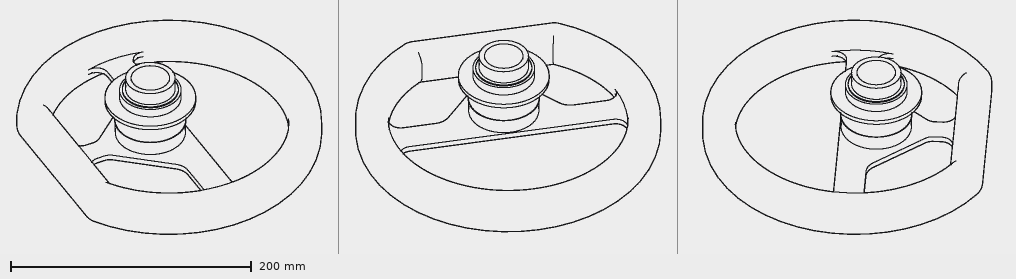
import cadquery as cq
import math

rim_radius = 127.0
flat_distance = 110.0
rim_width = 27.5
rim_height = 35.5
rim_rounding = 12.7

plate_top = 19.0
plate_thickness = 5.0
spoke_half_width = 12.7
lower_spoke_half_width = 10.0
web_outer_x = 51.5
web_lower_y = -62.0
rim_blend = 10.2
web_upper_blend = 15.2
web_lower_blend = 10.2

hub_y = -17.5
hub_steps = [
    (29.2, 32.3),
    (29.7, 52.8),
    (37.8, 56.6),
    (25.7, 64.5),
    (23.4, 65.5),
    (20.5, 77.5),
]
bore_radius = 16.0

inner_radius = rim_radius - rim_width
inner_flat = flat_distance - rim_width
plate_bottom = plate_top - plate_thickness


def d_prism(radius, flat, bottom, height):
    """Disc with its -Y side cut off by a flat."""
    half_flat = math.sqrt(radius**2 - flat**2)
    return (
        cq.Workplane("XY", origin=(0, 0, bottom))
        .moveTo(-half_flat, -flat)
        .threePointArc((0, radius), (half_flat, -flat))
        .close()
        .extrude(height)
    )


def make_rim():
    outer = d_prism(rim_radius, flat_distance, 0, rim_height)
    outer = outer.edges("|Z").fillet(rim_width / 2)
    opening = d_prism(inner_radius, inner_flat, 0, rim_height)
    ring = outer.cut(opening)
    return ring.faces("<Z or >Z").edges().fillet(rim_rounding)


def blend_corner(window, x, y, radius):
    """Round the vertical window edge nearest to (x, y)."""
    middle = (x, y, plate_bottom + plate_thickness / 2)
    return window.edges("|Z").edges(cq.selectors.NearestToPointSelector(middle)).fillet(radius)


def make_upper_window():
    window = d_prism(inner_radius, inner_flat, plate_bottom, plate_thickness)
    above_spokes = (
        cq.Workplane("XY", origin=(0, spoke_half_width, plate_bottom))
        .rect(2 * rim_radius, rim_radius, centered=(True, False))
        .extrude(plate_thickness)
    )
    return window.intersect(above_spokes).edges("|Z").fillet(rim_blend)


def make_lower_window():
    """Window on the +X side, between a side spoke and the lower spoke."""
    beside_spokes = (
        cq.Workplane("XY", origin=(0, 0, plate_bottom))
        .moveTo(rim_radius, -spoke_half_width)
        .lineTo(web_outer_x, -spoke_half_width)
        .lineTo(lower_spoke_half_width, web_lower_y)
        .lineTo(lower_spoke_half_width, -rim_radius)
        .lineTo(rim_radius, -rim_radius)
        .close()
        .extrude(plate_thickness)
    )
    window = d_prism(inner_radius, inner_flat, plate_bottom, plate_thickness).intersect(beside_spokes)
    rim_corner_x = math.sqrt(inner_radius**2 - spoke_half_width**2)
    window = blend_corner(window, rim_corner_x, -spoke_half_width, rim_blend)
    window = blend_corner(window, web_outer_x, -spoke_half_width, web_upper_blend)
    window = blend_corner(window, lower_spoke_half_width, web_lower_y, web_lower_blend)
    return blend_corner(window, lower_spoke_half_width, -inner_flat, rim_blend)


def make_plate():
    overlap = rim_width / 2
    plate = d_prism(inner_radius + overlap, inner_flat + overlap, plate_bottom, plate_thickness)
    lower_window = make_lower_window()
    return plate.cut(make_upper_window()).cut(lower_window).cut(lower_window.mirror("YZ"))


def make_hub():
    hub = cq.Workplane("XY")
    bottom = plate_bottom
    for radius, top in hub_steps:
        step = cq.Workplane("XY", origin=(0, hub_y, bottom)).circle(radius).extrude(top - bottom)
        hub = hub.union(step)
        bottom = top
    bore = cq.Workplane("XY", origin=(0, hub_y, plate_top)).circle(bore_radius).extrude(bottom - plate_top)
    return hub.cut(bore)


result = make_rim().union(make_plate()).union(make_hub())